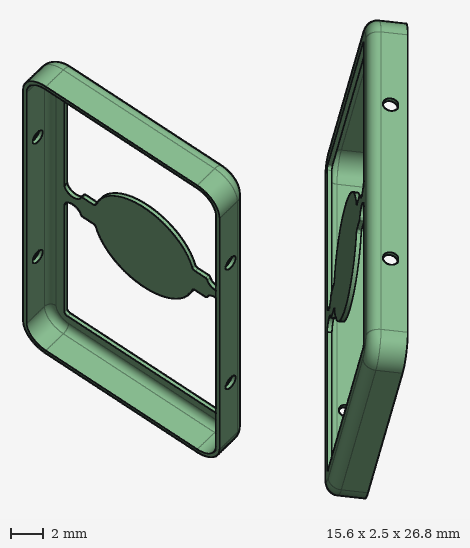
import cadquery as cq
import math

width = 15.6
depth = 2.5
height = 26.8
corner_radius = 1.8
wall = 0.3
back_edge_radius = 0.8

window_margin = 1.47
window_corner_radius = 0.25

disc_radius = 4.0
arm_height = 1.93
arm_overlap = 0.27
arm_fillet = 0.21
arm_tip_radius = 0.15
neck_height = 0.75
notch_radius = 0.67

hole_diameter = 0.96
hole_spacing = 12.0
hole_setback = 1.07

window_width = width - 2 * window_margin
window_height = height - 2 * window_margin


def upright_block(size_x, size_z, radius, front_y, back_y):
    """Rounded rectangle in XZ, extruded from front_y to back_y."""
    block = cq.Workplane("XZ", origin=(0, front_y, 0)).rect(size_x, size_z).extrude(front_y - back_y)
    return block.edges("|Y").fillet(radius)


def make_tray():
    """Shell with a rounded back edge and an even wall thickness."""
    outer = upright_block(width, height, corner_radius, 0, depth)
    outer = outer.faces(">Y").edges().fillet(back_edge_radius)
    cavity = upright_block(width - 2 * wall, height - 2 * wall, corner_radius - wall, 0, depth - wall)
    cavity = cavity.faces(">Y").edges().fillet(back_edge_radius - wall)
    return outer.cut(cavity)


def edge_box(min_x, max_x):
    """Selector for edges of the arms between two X positions."""
    return cq.selectors.BoxSelector((min_x, 0, -arm_height), (max_x, 2 * depth, arm_height))


def make_disc_with_arms():
    """Disc and arms spanning the window, in the plane of the back panel."""
    panel = cq.Workplane("XZ", origin=(0, depth, 0))
    disc = panel.circle(disc_radius).extrude(wall)
    arms = panel.rect(window_width + 2 * arm_overlap, arm_height).extrude(wall)
    joint_x = math.sqrt(disc_radius**2 - (arm_height / 2) ** 2)
    joints = edge_box(-joint_x - arm_fillet, joint_x + arm_fillet)
    web = disc.union(arms).edges("|Y").edges(joints).fillet(arm_fillet)

    notch_x = window_width / 2 - notch_radius
    notch_z = neck_height / 2 + notch_radius
    notch_centers = [(sx * notch_x, sz * notch_z) for sx in (-1, 1) for sz in (-1, 1)]
    web = web.cut(panel.pushPoints(notch_centers).circle(notch_radius).extrude(wall))

    tip_x = notch_x - math.sqrt(notch_radius**2 - (notch_z - arm_height / 2) ** 2)
    for side in (-1, 1):
        tips = edge_box(side * tip_x - arm_tip_radius, side * tip_x + arm_tip_radius)
        web = web.edges("|Y").edges(tips).fillet(arm_tip_radius)
    return web


def make_cross_holes():
    """Two bores running right through the frame along X."""
    return (
        cq.Workplane("YZ", origin=(-width / 2, 0, 0))
        .pushPoints([(hole_setback, -hole_spacing / 2), (hole_setback, hole_spacing / 2)])
        .circle(hole_diameter / 2)
        .extrude(width)
    )


window = upright_block(window_width, window_height, window_corner_radius, 0, depth)
frame = make_tray().cut(window).cut(make_cross_holes())
result = frame.union(make_disc_with_arms())